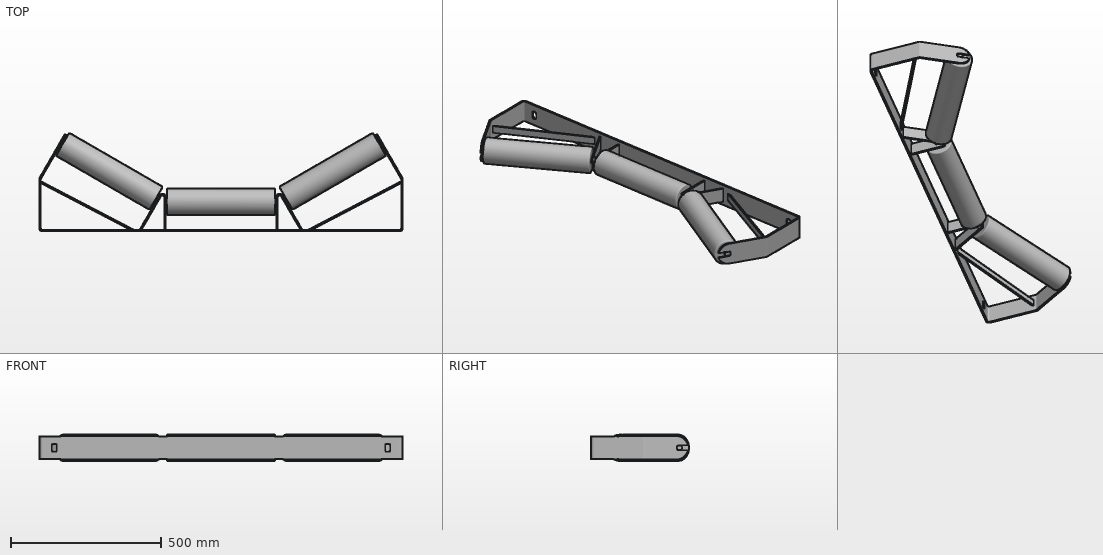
import cadquery as cq
import math


frame_width = 1210.0
bar_depth = 76.0
plate = 5.5
bend_radius = 2 * plate
knee_height = 177.0
trough_angle = 30.0
half_width = frame_width / 2

roller_diameter = 89.0
roller_length = 360.0
roller_edge_radius = 4.0
roller_gap = 368.0
roller_axis_height = 99.0
shaft_diameter = 20.0
shaft_flats = 14.0
shaft_length = roller_gap + 2 * plate
wing_end_overhang = 34.0
wing_roller_center = (-371.7, 200.4)

slot_width = 18.0
slot_bottom_drop = 10.5
slot_reach = 60.0

bracket_height = 126.0
bracket_depth = 50.0
bracket_face = roller_gap / 2

brace_depth = 25.0
brace_thickness = plate
brace_wall_height = 167.0
brace_foot = 290.0

mount_spacing = 1110.0
mount_slot_length = 28.0
mount_slot_width = 18.0

tilt = math.radians(trough_angle)
wing_up = (math.sin(tilt), math.cos(tilt))
wing_out = (-math.cos(tilt), math.sin(tilt))


def moved(point, direction, distance):
    """Point shifted along a direction in the XY plane."""
    return (point[0] + direction[0] * distance, point[1] + direction[1] * distance)


def mirrored(body):
    """Right-hand copy of a left-hand body."""
    return body.mirror("YZ")


def bar(outline_points, depth):
    """Closed XY polygon extruded symmetrically about Z = 0."""
    return cq.Workplane("XY").polyline(outline_points).close().extrude(depth / 2, both=True)


knee = (-half_width, knee_height)
center_from_knee = (wing_roller_center[0] - knee[0], wing_roller_center[1] - knee[1])
axis_along_wing = center_from_knee[0] * wing_up[0] + center_from_knee[1] * wing_up[1]
wing_length = axis_along_wing + wing_end_overhang


def shaft_slot(x, y, angle):
    """Open slot cutter for a shaft at (x, y) whose axis is turned by angle about Z."""
    radius = slot_width / 2
    bottom = radius - slot_bottom_drop
    return (
        cq.Workplane("YZ")
        .moveTo(slot_reach, -radius)
        .lineTo(bottom, -radius)
        .threePointArc((-slot_bottom_drop, 0), (bottom, radius))
        .lineTo(slot_reach, radius)
        .close()
        .extrude(2 * plate, both=True)
        .rotate((0, 0, 0), (0, 0, 1), angle)
        .translate((x, y, 0))
    )


def round_bends(body, left_corners, radius):
    """Fillet the Z edges at the given left-hand corners and at their right-hand twins."""
    reach = 0.1
    for x, y in left_corners:
        for corner_x in (x, -x):
            corner = cq.selectors.BoxSelector(
                (corner_x - reach, y - reach, -bar_depth), (corner_x + reach, y + reach, bar_depth)
            )
            body = body.edges("|Z").edges(corner).fillet(radius)
    return body


def make_frame():
    """Base, side walls and inclined wing plates bent from one flat bar."""
    left_tip = moved(knee, wing_up, wing_length)
    inward = (-wing_out[0], -wing_out[1])
    inner_tip = moved(left_tip, inward, plate)
    inner_knee = (-half_width + plate, knee_height - plate * math.tan(tilt / 2))
    left_side = [(-half_width, 0), knee, left_tip, inner_tip, inner_knee, (-half_width + plate, plate)]
    right_side = [(-x, y) for x, y in reversed(left_side)]
    body = bar(left_side + right_side, bar_depth)
    body = round_bends(body, [(-half_width, 0), knee], bend_radius)
    return round_bends(body, [left_side[-1], inner_knee], bend_radius - plate)


def wing_tip_trim():
    """Waste around the full-round end of the left wing plate."""
    radius = bar_depth / 2
    center = moved(knee, wing_up, wing_length - radius)
    block = cq.Workplane("YZ").rect(bar_depth, 2 * bar_depth).extrude(2 * plate, both=True)
    block = block.translate((0, bar_depth / 2, 0))
    disc = cq.Workplane("YZ").circle(radius).extrude(2 * plate, both=True)
    waste = block.cut(disc)
    return waste.rotate((0, 0, 0), (0, 0, 1), -trough_angle).translate((center[0], center[1], 0))


def mounting_slots():
    """Two upright obround holes through the base."""
    return (
        cq.Workplane("XZ")
        .pushPoints([(-mount_spacing / 2, 0), (mount_spacing / 2, 0)])
        .slot2D(mount_slot_length, mount_slot_width, 90)
        .extrude(2 * plate, both=True)
    )


outer_axis_point = moved(knee, wing_up, axis_along_wing)
wing_slot = shaft_slot(*outer_axis_point, -trough_angle)
frame = make_frame().cut(mounting_slots())
for cutter in (wing_tip_trim(), wing_slot):
    frame = frame.cut(cutter).cut(mirrored(cutter))


def make_bracket():
    """Left inner bracket: an inclined leg and an upright leg joined by a round bend."""
    bend_x = -bracket_face - bend_radius
    bend_y = bracket_height - bend_radius

    def fold(radius):
        """Solid wedge under a fold of the given bend radius."""
        tangent = moved((bend_x, bend_y), wing_out, radius)
        foot_x = tangent[0] - (tangent[1] - plate) * math.tan(tilt)
        return (
            cq.Workplane("XY")
            .moveTo(foot_x, plate)
            .lineTo(*tangent)
            .threePointArc(
                (bend_x + radius * math.sin(tilt / 2), bend_y + radius * math.cos(tilt / 2)),
                (bend_x + radius, bend_y),
            )
            .lineTo(bend_x + radius, plate)
            .close()
            .extrude(bracket_depth / 2, both=True)
        )

    body = fold(bend_radius).cut(fold(bend_radius - plate))
    wing_face = moved(wing_roller_center, wing_out, -roller_gap / 2 - plate / 2)
    body = body.cut(shaft_slot(*wing_face, -trough_angle))
    return body.cut(shaft_slot(-bracket_face - plate / 2, roller_axis_height, 0))


def make_brace():
    """Left diagonal brace, trimmed to the wall and the base."""
    wall_x = -half_width + plate
    rise = brace_wall_height - plate
    run = -brace_foot - wall_x
    slope = math.hypot(rise, run)
    drop = brace_thickness * slope / run
    setback = brace_thickness * slope / rise
    points = [
        (wall_x, brace_wall_height),
        (-brace_foot, plate),
        (-brace_foot - setback, plate),
        (wall_x, brace_wall_height - drop),
    ]
    return bar(points, brace_depth)


def round_bar(diameter, length):
    """Cylinder along X, centred on the origin."""
    return cq.Workplane("YZ", origin=(-length / 2, 0, 0)).circle(diameter / 2).extrude(length)


def make_roller(x, y, angle):
    """Roller shell with its flatted shaft ends, axis turned by angle about Z."""
    shell = round_bar(roller_diameter, roller_length)
    shell = shell.edges("%CIRCLE").fillet(roller_edge_radius)
    shaft = round_bar(shaft_diameter, shaft_length)
    flats = cq.Workplane("XY").box(shaft_length, shaft_diameter, shaft_flats)
    body = shell.union(shaft.intersect(flats))
    return body.rotate((0, 0, 0), (0, 0, 1), angle).translate((x, y, 0))


left_bracket = make_bracket()
left_brace = make_brace()
left_roller = make_roller(*wing_roller_center, -trough_angle)
center_roller = make_roller(0, roller_axis_height, 0)

bodies = [frame.val(), center_roller.val()]
for left_body in (left_bracket, left_brace, left_roller):
    bodies.append(left_body.val())
    bodies.append(mirrored(left_body).val())

result = cq.Compound.makeCompound(bodies)